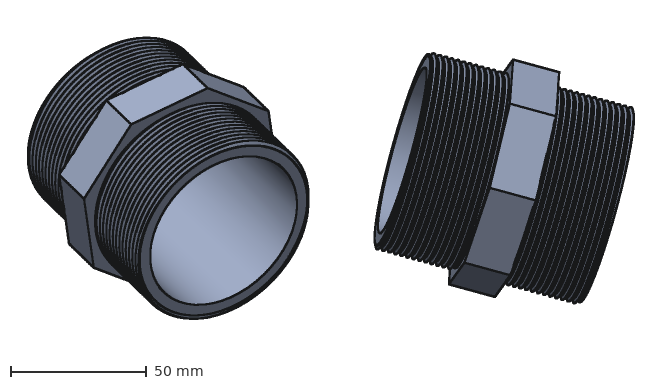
import cadquery as cq
import math

overall_length = 78.0
overall_width = 83.5
bore_diameter = 63.1
core_diameter = 72.2

collar_length = 17.7
collar_sides = 8
corner_offset_angle = 15.2
corner_radius = overall_width / 2 / math.cos(math.radians(corner_offset_angle))

thread_pitch = 2.305
thread_crest_diameter = 75.2
thread_angle = 60.0
crest_offset = 0.25
lead_in_turns = 1.0

thread_length = (overall_length - collar_length) / 2
thread_starts = [-overall_length / 2, collar_length / 2]


def make_nipple():
    """Straight pipe with the octagonal collar at mid length."""
    pipe = (
        cq.Workplane("YZ")
        .workplane(offset=-overall_length / 2)
        .circle(core_diameter / 2)
        .extrude(overall_length)
    )
    first_angle = math.radians(90 - corner_offset_angle)
    side_angle = 2 * math.pi / collar_sides
    corners = [
        (
            corner_radius * math.cos(first_angle + i * side_angle),
            corner_radius * math.sin(first_angle + i * side_angle),
        )
        for i in range(collar_sides)
    ]
    collar = (
        cq.Workplane("YZ")
        .workplane(offset=-collar_length / 2)
        .polyline(corners)
        .close()
        .extrude(collar_length)
    )
    bore = (
        cq.Workplane("YZ")
        .workplane(offset=-overall_length / 2)
        .circle(bore_diameter / 2)
        .extrude(overall_length)
    )
    return pipe.union(collar).cut(bore)


def make_thread(start_x):
    """Helical ridge seated on the core, trimmed flat at both ends."""
    root_radius = core_diameter / 2
    crest_radius = thread_crest_diameter / 2
    half_width = (crest_radius - root_radius) * math.tan(math.radians(thread_angle / 2))
    lead_in = lead_in_turns * thread_pitch

    helix = cq.Wire.makeHelix(thread_pitch, thread_length + 2 * lead_in, root_radius)
    ridge = (
        cq.Workplane("XZ")
        .moveTo(root_radius, -half_width)
        .lineTo(crest_radius, 0)
        .lineTo(root_radius, half_width)
        .close()
        .sweep(cq.Workplane(obj=helix), isFrenet=True)
    )
    ridge = ridge.rotate((0, 0, 0), (0, 1, 0), 90)
    ridge = ridge.translate((start_x + crest_offset - lead_in, 0, 0))

    slab = (
        cq.Workplane("YZ")
        .workplane(offset=start_x)
        .rect(overall_width, overall_width)
        .extrude(thread_length)
    )
    return ridge.intersect(slab)


nipple = make_nipple()
threads = [make_thread(start_x) for start_x in thread_starts]

result = cq.Compound.makeCompound([nipple.val(), *[thread.solids().val() for thread in threads]])